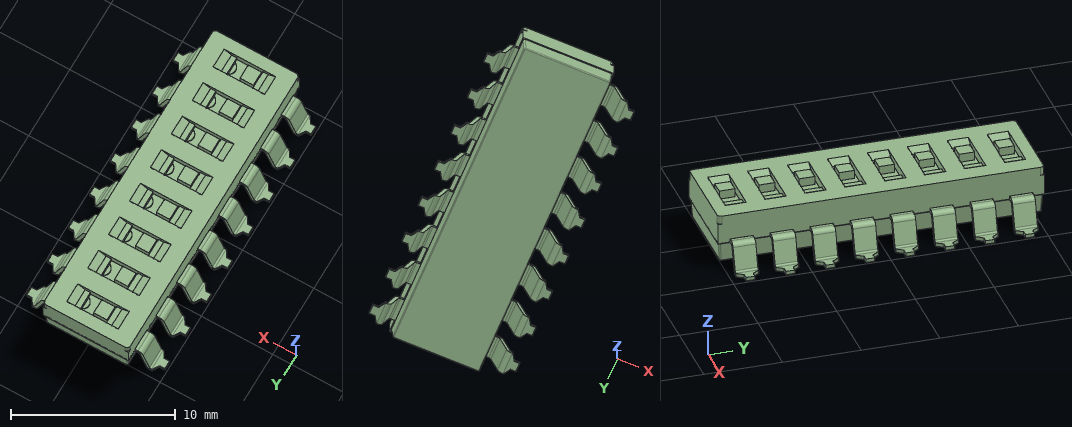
import cadquery as cq
import math

length = 20.75
width = 6.0
top_z = 3.7
cap_height = 0.56
split_z = 1.76
base_bottom_z = 0.5
cap_corner_radius = 0.25
base_inset = 0.06
base_draft_inset = 0.08
base_corner_radius = 0.1
base_bottom_radius = 0.06

switch_count = 8
row_length = 17.77
pitch = row_length / (switch_count - 1)

opening_length = 3.61
opening_width = 1.33
floor_length = 2.57
floor_depth = 0.3
trench_length = 1.83
trench_depth = 0.56

knob_length = 0.93
knob_width = 1.0
dimple_radius = 0.48
dimple_reach = 0.3
dimple_depth = 0.1

span = 9.7
lead_width = 1.45
lead_thickness = 0.25
lead_top_z = split_z + lead_thickness
upper_bend_x = 3.22
bend_radius = 0.27
bend_angle = math.radians(72.5)
root_depth = 0.5
tip_width = 0.58
tip_length = 0.37
neck_length = 0.27


def make_housing():
    cap_z = top_z - cap_height
    cap = (
        cq.Workplane("XY", origin=(0, 0, cap_z))
        .rect(width, length)
        .extrude(cap_height)
        .edges("|Z")
        .fillet(cap_corner_radius)
    )
    middle = cq.Workplane("XY", origin=(0, 0, split_z)).rect(width, length).extrude(cap_z - split_z)
    base_height = split_z - base_bottom_z
    draft = math.degrees(math.atan2(base_draft_inset, base_height))
    base = (
        cq.Workplane("XY", origin=(0, 0, split_z))
        .rect(width - 2 * base_inset, length - 2 * base_inset)
        .extrude(-base_height, taper=draft)
        .edges("not #Z")
        .fillet(base_corner_radius)
        .faces("<Z")
        .edges()
        .fillet(base_bottom_radius)
    )
    return middle.union(cap).union(base)


def make_opening():
    """Volume removed from the cap and housing for one switch, leaving its knob standing."""
    floor_z = top_z - floor_depth
    trench_z = top_z - trench_depth
    pocket = (
        cq.Workplane("XZ", origin=(0, opening_width / 2, 0))
        .moveTo(-opening_length / 2, top_z)
        .lineTo(-floor_length / 2, floor_z)
        .lineTo(floor_length / 2, floor_z)
        .lineTo(opening_length / 2, top_z)
        .close()
        .extrude(opening_width)
    )
    trench = (
        cq.Workplane("XY", origin=(0, 0, trench_z))
        .rect(trench_length, opening_width)
        .extrude(trench_depth)
    )
    dimple_x = trench_length / 2 - dimple_reach + dimple_radius
    dimple = (
        cq.Workplane("XY", origin=(dimple_x, 0, trench_z))
        .circle(dimple_radius)
        .extrude(-dimple_depth)
        .intersect(trench.translate((0, 0, -trench_depth)))
    )
    knob = (
        cq.Workplane("XY", origin=((knob_length - trench_length) / 2, 0, trench_z))
        .rect(knob_length, knob_width)
        .extrude(trench_depth)
    )
    return pocket.union(trench).cut(knob).union(dimple)


def make_lead():
    """Lead on the +X side, centred on Y = 0, starting inside the housing."""
    upper_z = lead_top_z - lead_thickness / 2
    lower_z = lead_thickness / 2
    bend_run = bend_radius * math.sin(bend_angle)
    bend_drop = bend_radius * (1 - math.cos(bend_angle))
    half_run = bend_radius * math.sin(bend_angle / 2)
    half_drop = bend_radius * (1 - math.cos(bend_angle / 2))
    leg_drop = upper_z - lower_z - 2 * bend_drop
    lower_bend_x = upper_bend_x + 2 * bend_run + leg_drop / math.tan(bend_angle)
    root_x = width / 2 - root_depth

    path = (
        cq.Workplane("XZ")
        .moveTo(root_x, upper_z)
        .lineTo(upper_bend_x, upper_z)
        .threePointArc(
            (upper_bend_x + half_run, upper_z - half_drop),
            (upper_bend_x + bend_run, upper_z - bend_drop),
        )
        .lineTo(lower_bend_x - bend_run, lower_z + bend_drop)
        .threePointArc((lower_bend_x - half_run, lower_z + half_drop), (lower_bend_x, lower_z))
        .lineTo(span / 2, lower_z)
    )
    strip = cq.Workplane("YZ", origin=(root_x, 0, upper_z)).rect(lead_width, lead_thickness).sweep(path)

    tip_x = span / 2 - tip_length
    neck_x = tip_x - neck_length
    plan = (
        cq.Workplane("XY")
        .moveTo(root_x, -lead_width / 2)
        .lineTo(neck_x, -lead_width / 2)
        .lineTo(tip_x, -tip_width / 2)
        .lineTo(span / 2, -tip_width / 2)
        .lineTo(span / 2, tip_width / 2)
        .lineTo(tip_x, tip_width / 2)
        .lineTo(neck_x, lead_width / 2)
        .lineTo(root_x, lead_width / 2)
        .close()
        .extrude(top_z)
    )
    return strip.intersect(plan)


result = make_housing()
opening = make_opening()
right_lead = make_lead()
left_lead = right_lead.mirror("YZ")

for index in range(switch_count):
    switch_y = (index - (switch_count - 1) / 2) * pitch
    result = result.cut(opening.translate((0, switch_y, 0)))
    for lead in (right_lead, left_lead):
        result = result.union(lead.translate((0, switch_y, 0)))